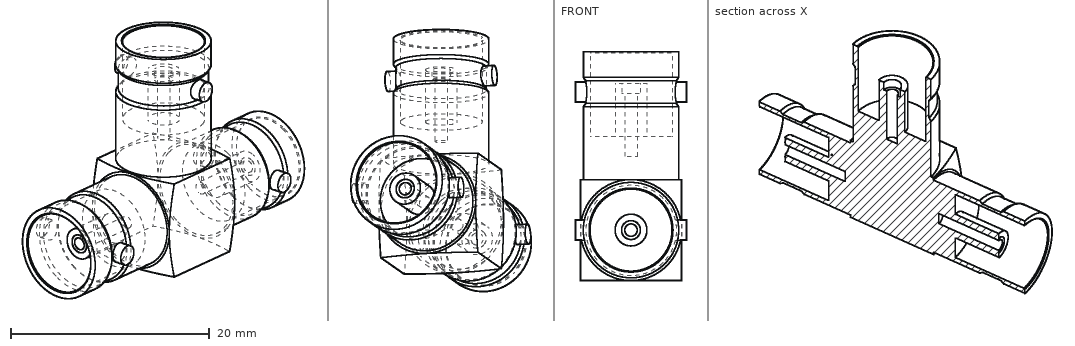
import cadquery as cq
import math


block_side = 10.16
block_half = block_side / 2
corner_chamfer_angle = 20.0

run_length = 32.52
overall_height = 23.01
run_reach = run_length / 2
branch_reach = overall_height - block_half

barrel_radius = 9.6 / 2
groove_radius = 9.1 / 2
lug_depth = 4.06
groove_floor_width = 2.24
groove_ramp_width = 0.35
bore_radius = 8.25 / 2
bore_depth = 8.5
bore_edge_chamfer = 0.1

lug_diameter = 2.03
lug_span = 11.18

post_radius = 3.2 / 2
post_depth = 3.17
contact_radius = 1.9 / 2
contact_hole_radius = 1.25 / 2
contact_hole_extra_depth = 2.0
run_contact_setback = 0.03
branch_contact_setback = 1.0


def make_block():
    """Cube whose eight corners are trimmed by a cone around Y on each run face."""
    cube = cq.Workplane("XY").box(block_side, block_side, block_side)
    corner_radius = block_half * math.sqrt(2)
    cone_drop = (corner_radius - block_half) * math.tan(math.radians(corner_chamfer_angle))
    shoulder = block_half - cone_drop
    envelope = (
        cq.Workplane("XY")
        .moveTo(0, -block_half)
        .lineTo(block_half, -block_half)
        .lineTo(corner_radius, -shoulder)
        .lineTo(corner_radius, shoulder)
        .lineTo(block_half, block_half)
        .lineTo(0, block_half)
        .close()
        .revolve(360, (0, 0, 0), (0, 1, 0))
    )
    return cube.intersect(envelope)


def make_barrel(reach):
    """Solid grooved barrel along +Z from the origin, with two lugs along X."""
    lug_z = reach - lug_depth
    floor_half = groove_floor_width / 2
    mouth_half = floor_half + groove_ramp_width
    barrel = (
        cq.Workplane("XZ")
        .moveTo(0, 0)
        .lineTo(barrel_radius, 0)
        .lineTo(barrel_radius, lug_z - mouth_half)
        .lineTo(groove_radius, lug_z - floor_half)
        .lineTo(groove_radius, lug_z + floor_half)
        .lineTo(barrel_radius, lug_z + mouth_half)
        .lineTo(barrel_radius, reach)
        .lineTo(0, reach)
        .close()
        .revolve(360, (0, 0, 0), (0, 1, 0))
    )
    lugs = (
        cq.Workplane("YZ")
        .center(0, lug_z)
        .circle(lug_diameter / 2)
        .extrude(lug_span / 2, both=True)
    )
    return barrel.union(lugs)


def make_cavity(reach, contact_setback):
    """Space to remove from a barrel along +Z: the bore around the post, and the contact holes."""
    floor_z = reach - bore_depth
    post_z = reach - post_depth
    contact_z = post_z - contact_setback
    hole_end_z = floor_z - contact_hole_extra_depth
    return (
        cq.Workplane("XZ")
        .moveTo(0, hole_end_z)
        .lineTo(contact_hole_radius, hole_end_z)
        .lineTo(contact_hole_radius, contact_z)
        .lineTo(contact_radius, contact_z)
        .lineTo(contact_radius, post_z)
        .lineTo(post_radius, post_z)
        .lineTo(post_radius, floor_z)
        .lineTo(bore_radius, floor_z)
        .lineTo(bore_radius, reach - bore_edge_chamfer)
        .lineTo(bore_radius + bore_edge_chamfer, reach)
        .lineTo(0, reach)
        .close()
        .revolve(360, (0, 0, 0), (0, 1, 0))
    )


def tip_about_x(shape, angle):
    """Turn a shape built along +Z about the X axis."""
    return shape.rotate((0, 0, 0), (1, 0, 0), angle)


ports = [
    (branch_reach, branch_contact_setback, 0),
    (run_reach, run_contact_setback, 90),
    (run_reach, run_contact_setback, -90),
]

body = make_block()
for reach, _, tilt in ports:
    body = body.union(tip_about_x(make_barrel(reach), tilt))
for reach, contact_setback, tilt in ports:
    body = body.cut(tip_about_x(make_cavity(reach, contact_setback), tilt))

result = body